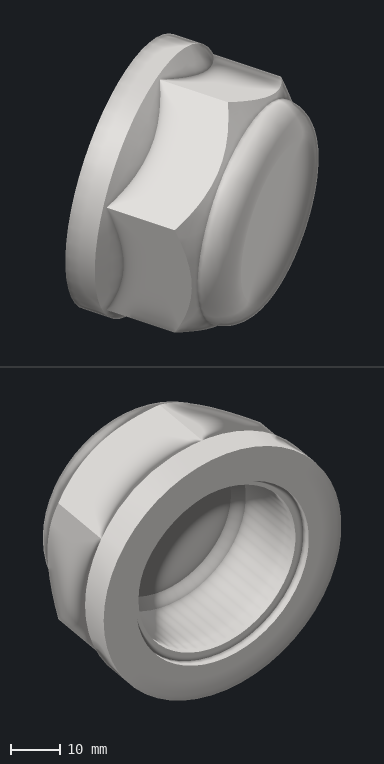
import cadquery as cq
import math

length = 34.0
flange_diameter = 59.0
flange_thickness = 6.65

across_flats = 50.15
across_corners = across_flats / math.cos(math.pi / 6)

collar_diameter = 48.4
collar_start = 27.4
collar_round = length - collar_start

recess_diameter = 42.85
recess_depth = 2.0
bore_diameter = 38.95
floor_diameter = 34.6
floor_cone_height = (bore_diameter - floor_diameter) / 2
bore_depth = 21.95

flange_radius = flange_diameter / 2
collar_radius = collar_diameter / 2
cone_height = flange_radius - collar_radius


def disc(diameter, start, end):
    """Solid cylinder on the X axis between two X positions."""
    return cq.Workplane("YZ", origin=(start, 0, 0)).circle(diameter / 2).extrude(end - start)


def hexagon_body():
    """Hexagonal prism cut by the 45 degree cones at both of its ends."""
    prism = (
        cq.Workplane("YZ")
        .polygon(6, across_corners)
        .extrude(collar_start)
        .rotate((0, 0, 0), (1, 0, 0), 90)
    )
    cone_start = collar_start - cone_height
    envelope = (
        cq.Workplane("XY")
        .polyline([
            (0, 0),
            (0, flange_radius),
            (cone_start, flange_radius),
            (collar_start, collar_radius),
            (collar_start, 0),
        ])
        .close()
        .revolve(360, (0, 0, 0), (1, 0, 0))
    )
    return prism.intersect(envelope)


def flange():
    """Round flange with a 45 degree cone that runs into the hexagon."""
    return (
        cq.Workplane("XY")
        .polyline([
            (0, 0),
            (0, flange_radius),
            (flange_thickness, flange_radius),
            (flange_thickness + cone_height, collar_radius),
            (flange_thickness + cone_height, 0),
        ])
        .close()
        .revolve(360, (0, 0, 0), (1, 0, 0))
    )


def collar():
    """Closed round end with a large outer rounding."""
    return disc(collar_diameter, flange_thickness, length).faces(">X").edges().fillet(collar_round)


def bore():
    """Recess and bore, with a 45 degree cone down to the flat floor, as one cutter."""
    return (
        cq.Workplane("XY")
        .polyline([
            (0, 0),
            (0, recess_diameter / 2),
            (recess_depth, recess_diameter / 2),
            (recess_depth, bore_diameter / 2),
            (bore_depth - floor_cone_height, bore_diameter / 2),
            (bore_depth, floor_diameter / 2),
            (bore_depth, 0),
        ])
        .close()
        .revolve(360, (0, 0, 0), (1, 0, 0))
    )


result = flange().union(hexagon_body()).union(collar()).cut(bore())